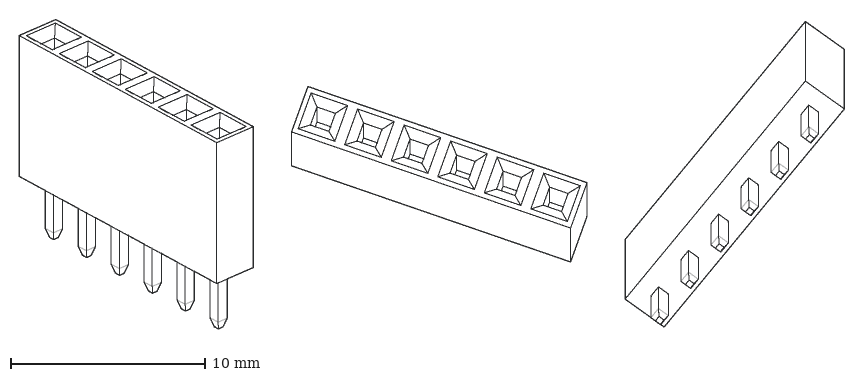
import cadquery as cq

cell_count = 6
housing_length = 15.24
pitch = housing_length / cell_count
housing_width = pitch
housing_height = 8.3

mouth_side = 2.0
bore_side = 1.0
funnel_depth = (mouth_side - bore_side) / 2
socket_depth = housing_height / 2

pin_side = 0.64
pin_length = 3.55
tip_side = 0.32
tip_length = 0.53

cell_centers = [(i - (cell_count - 1) / 2) * pitch for i in range(cell_count)]


def square_taper(x, start_z, start_side, end_z, end_side):
    """Square frustum about a vertical axis at x, lofted between two heights."""
    return (
        cq.Workplane("XY", origin=(x, 0, start_z))
        .rect(start_side, start_side)
        .workplane(offset=end_z - start_z)
        .rect(end_side, end_side)
        .loft(ruled=True)
    )


def square_post(x, bottom_z, top_z, side):
    """Straight square prism about a vertical axis at x."""
    return cq.Workplane("XY", origin=(x, 0, bottom_z)).rect(side, side).extrude(top_z - bottom_z)


def make_socket_cutter(x):
    funnel_bottom = housing_height - funnel_depth
    funnel = square_taper(x, funnel_bottom, bore_side, housing_height, mouth_side)
    bore = square_post(x, housing_height - socket_depth, funnel_bottom, bore_side)
    return funnel.union(bore)


def make_housing():
    """Block with its underside at Z = 0 and one socket per cell."""
    block = cq.Workplane("XY").rect(housing_length, housing_width).extrude(housing_height)
    for x in cell_centers:
        block = block.cut(make_socket_cutter(x))
    return block


def make_pin(x):
    shoulder_z = tip_length - pin_length
    shank = square_post(x, shoulder_z, 0, pin_side)
    tip = square_taper(x, -pin_length, tip_side, shoulder_z, pin_side)
    return shank.union(tip)


housing = make_housing()
pins = [make_pin(x) for x in cell_centers]

result = cq.Compound.makeCompound([housing.solids().val(), *[pin.solids().val() for pin in pins]])